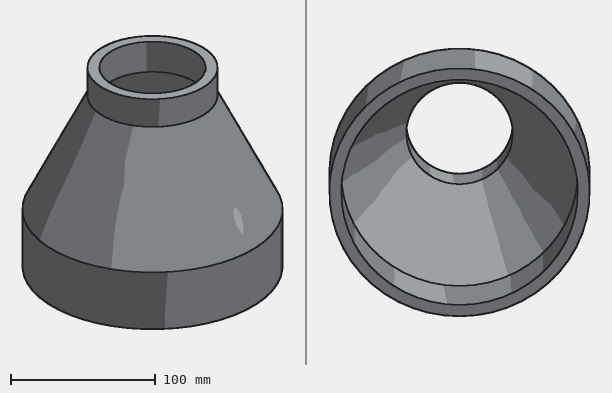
import math

import cadquery as cq

base_diameter = 180.0
base_height = 45.0
cone_height = 90.0
neck_diameter = base_diameter / 2
neck_height = 22.0
wall = 8.3

cone_top = base_height + cone_height
total_height = cone_top + neck_height

cone_half_angle = math.atan2((base_diameter - neck_diameter) / 2, cone_height)
corner_drop = wall * math.tan(cone_half_angle / 2)


def stepped_cone(inset, drop):
    """Solid cylinder, cone and smaller cylinder, inset from the outer skin with its corners lowered."""
    base_radius = base_diameter / 2 - inset
    neck_radius = neck_diameter / 2 - inset
    return (
        cq.Workplane("XZ")
        .polyline([
            (0, 0),
            (base_radius, 0),
            (base_radius, base_height - drop),
            (neck_radius, cone_top - drop),
            (neck_radius, total_height),
            (0, total_height),
        ])
        .close()
        .revolve(360, (0, 0), (0, 1))
    )


outside = stepped_cone(0, 0)
bore = stepped_cone(wall, corner_drop)

result = outside.cut(bore)